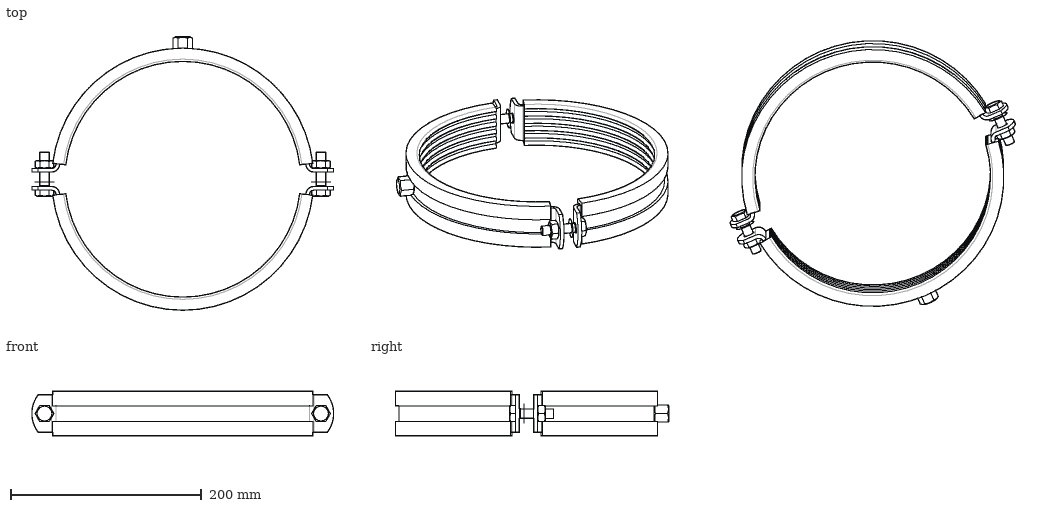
import cadquery as cq
import math


band_width = 47.0
band_outer_radius = 137.5
band_inner_radius = 123.5
band_end_angle = 7.0
groove_width = 16.2

rib_count = 6
rib_radius = 2.5
rib_root_radius = band_inner_radius + rib_radius
rib_pitch = (band_width - 2 * rib_radius) / (rib_count - 1)

strip_thickness = 4.0
strip_width = 39.5
strip_outer_radius = 134.0
strip_inner_radius = strip_outer_radius - strip_thickness
bend_inner_radius = 4.5
bend_outer_radius = bend_inner_radius + strip_thickness

lug_gap = 15.0
lug_inner_y = lug_gap / 2
lug_outer_y = lug_inner_y + strip_thickness
lug_tip_x = 158.4
lug_corner_x = 151.6
lug_hole_diameter = 11.0

bend_center_radius = strip_outer_radius + bend_inner_radius
bend_center_y = lug_outer_y + bend_inner_radius
strip_end_angle = math.asin(bend_center_y / bend_center_radius)
bend_center_x = bend_center_radius * math.cos(strip_end_angle)

nut_across_flats = 17.0
boss_across_flats = 18.0
hex_face_diameter = 15.4
hex_chamfer_angle = math.radians(30)
nut_height = 8.4
bolt_head_height = 6.4
boss_top_y = 149.5
boss_embedment = 0.3
boss_base_y = strip_outer_radius - boss_embedment

bolt_x = 145.0
bolt_diameter = 10.0
bolt_length = 40.0
bolt_tip_diameter = 9.19
collar_diameter = 10.11
collar_height = 1.0
disc_diameter = 20.0
disc_thickness = 0.1
disc_y = -2.9


def cylinder_y(diameter, y_start, y_end, x=0.0):
    """Cylinder along +Y at height Z = 0."""
    base = cq.Workplane("XZ", origin=(x, y_start, 0))
    return base.circle(diameter / 2).extrude(y_start - y_end)


def hexagon_y(across_flats, y_start, y_end, x=0.0, chamfer_end=True):
    """Hexagonal prism along +Y, corners on the X axis, chamfered at its start and optionally its end."""
    height = y_end - y_start
    across_corners = across_flats / math.cos(math.pi / 6)
    prism = cq.Workplane("XZ", origin=(x, y_start, 0)).polygon(6, across_corners).extrude(-height)
    face_radius = hex_face_diameter / 2
    rim_radius = across_corners / 2
    drop = (rim_radius - face_radius) * math.tan(hex_chamfer_angle)
    envelope = (
        cq.Workplane("XY", origin=(x, y_start, 0))
        .lineTo(face_radius, 0)
        .lineTo(rim_radius, drop)
    )
    if chamfer_end:
        envelope = envelope.lineTo(rim_radius, height - drop).lineTo(face_radius, height)
    else:
        envelope = envelope.lineTo(rim_radius, height)
    envelope = envelope.lineTo(0, height).close().revolve(360, (0, 0), (0, 1))
    return prism.intersect(envelope)


def make_lined_arc():
    """Half ring of ribbed lining with the outer groove that shows the strip."""
    half_width = band_width / 2
    half_groove = groove_width / 2
    outline = (
        cq.Workplane("XZ")
        .moveTo(rib_root_radius, half_width)
        .lineTo(band_outer_radius, half_width)
        .lineTo(band_outer_radius, half_groove)
        .lineTo(strip_outer_radius, half_groove)
        .lineTo(strip_outer_radius, -half_groove)
        .lineTo(band_outer_radius, -half_groove)
        .lineTo(band_outer_radius, -half_width)
    )
    for index in range(rib_count):
        rib_z = -half_width + rib_radius + index * rib_pitch
        outline = (
            outline.lineTo(rib_root_radius, rib_z - rib_radius)
            .threePointArc((band_inner_radius, rib_z), (rib_root_radius, rib_z + rib_radius))
        )
    sweep = 180 - 2 * band_end_angle
    arc = outline.close().revolve(sweep, (0, 0), (0, 1))
    return arc.rotate((0, 0, 0), (0, 0, 1), band_end_angle)


def lug_outline_points():
    """Plan points of the +X strip end, from the strip's outer face round the lug to its inner face."""
    bend_start = math.pi + strip_end_angle
    bend_end = 3 * math.pi / 2
    bend_middle = (bend_start + bend_end) / 2

    def on_bend(radius, angle):
        return (bend_center_x + radius * math.cos(angle), bend_center_y + radius * math.sin(angle))

    inner_bend = [on_bend(bend_inner_radius, angle) for angle in (bend_start, bend_middle, bend_end)]
    tip = [(lug_tip_x, lug_outer_y), (lug_tip_x, lug_inner_y)]
    outer_bend = [on_bend(bend_outer_radius, angle) for angle in (bend_end, bend_middle, bend_start)]
    return inner_bend + tip + outer_bend


def add_lug_outline(sketch, points):
    """Continue an outline from points[0] along one bend, round the lug tip and along the other bend."""
    return (
        sketch.threePointArc(points[1], points[2])
        .lineTo(*points[3])
        .lineTo(*points[4])
        .lineTo(*points[5])
        .threePointArc(points[6], points[7])
    )


def make_strip():
    """Half-ring strip, bent outward at both ends into rounded and drilled lugs."""
    right_points = lug_outline_points()
    left_points = [(-x, y) for x, y in reversed(right_points)]
    outline = cq.Workplane("XY").moveTo(*right_points[0])
    outline = add_lug_outline(outline, right_points)
    outline = outline.threePointArc((0, strip_inner_radius), left_points[0])
    outline = add_lug_outline(outline, left_points)
    outline = outline.threePointArc((0, strip_outer_radius), right_points[0])
    strip = outline.close().extrude(strip_width / 2, both=True)
    half_width = strip_width / 2
    rounded_ends = (
        cq.Workplane("XZ")
        .moveTo(-lug_corner_x, -half_width)
        .lineTo(lug_corner_x, -half_width)
        .threePointArc((lug_tip_x, 0), (lug_corner_x, half_width))
        .lineTo(-lug_corner_x, half_width)
        .threePointArc((-lug_tip_x, 0), (-lug_corner_x, -half_width))
        .close()
        .extrude(-band_outer_radius)
    )
    strip = strip.intersect(rounded_ends)
    for x in (-bolt_x, bolt_x):
        strip = strip.cut(cylinder_y(lug_hole_diameter, lug_inner_y, lug_outer_y, x))
    return strip


def make_band_half():
    """Lined half ring on the +Y side with a lug at each end."""
    return make_lined_arc().union(make_strip())


def make_bolt(x):
    """Bolt pointing along +Y, with its head bearing on the lower lug."""
    head_bearing_y = -lug_outer_y
    tip_y = head_bearing_y + bolt_length
    tip_chamfer = (bolt_diameter - bolt_tip_diameter) / 2
    shank = cylinder_y(bolt_diameter, head_bearing_y, tip_y, x).faces(">Y").chamfer(tip_chamfer)
    head = hexagon_y(
        nut_across_flats, head_bearing_y - bolt_head_height, head_bearing_y, x, chamfer_end=False
    )
    collar = cylinder_y(collar_diameter, head_bearing_y, collar_height - lug_inner_y, x)
    disc = cylinder_y(disc_diameter, disc_y, disc_y + disc_thickness, x)
    return shank.union(head).union(collar).union(disc)


def make_upper_half():
    """Band half with the connection boss and the two nuts."""
    half = make_band_half().union(hexagon_y(boss_across_flats, boss_base_y, boss_top_y))
    nut_end_y = lug_outer_y + nut_height
    for x in (-bolt_x, bolt_x):
        bore = cylinder_y(bolt_diameter, lug_outer_y, nut_end_y, x)
        nut = hexagon_y(nut_across_flats, lug_outer_y, nut_end_y, x).cut(bore)
        half = half.union(nut)
    return half


def make_lower_half():
    """Band half with the two bolts that reach through the upper lugs and nuts."""
    half = make_band_half().mirror("XZ")
    for x in (-bolt_x, bolt_x):
        half = half.union(make_bolt(x))
    return half


upper_half = make_upper_half()
lower_half = make_lower_half()

result = cq.Compound.makeCompound([upper_half.solids().val(), lower_half.solids().val()])